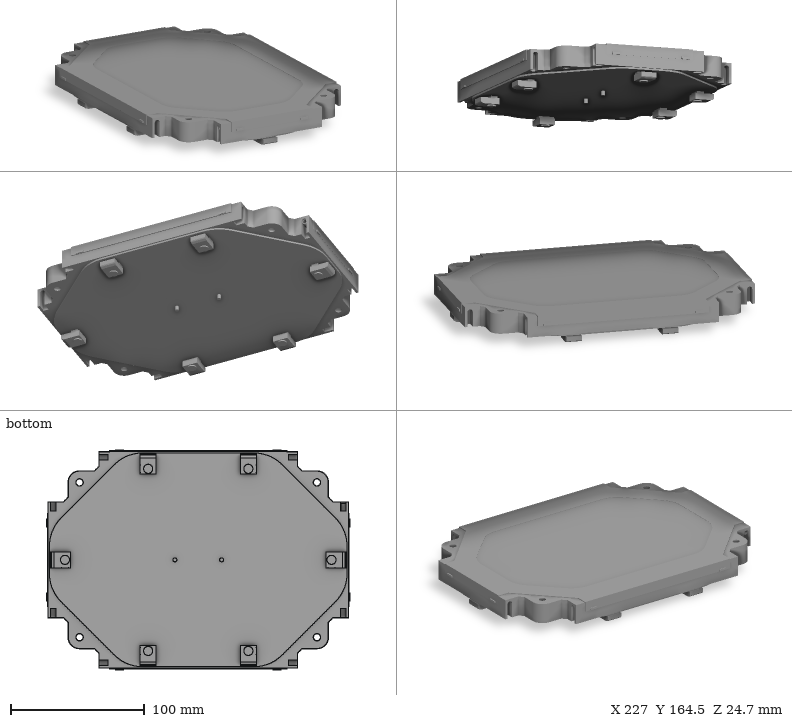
import cadquery as cq

overall_x = 227.0
overall_y = 164.5
overall_z = 24.7

nub_proud_x = 1.0
nub_proud_y = 0.7
lid_half_x = overall_x / 2 - nub_proud_x
lid_half_y = overall_y / 2 - nub_proud_y
lid_side_half_x = 66.3
lid_side_half_y = 34.7
lid_lip = 8.9
lid_depth = 8.0
window_half_x = 91.0
window_half_y = 59.5
window_chamfer = 33.5
window_radius = 20.2
window_depth = 0.2

lid_step = 0.7
shell_bottom = 16.3
lid_overhang_x = 0.11
lid_overhang_y = 0.7
shell_half_x = lid_half_x - lid_overhang_x
shell_half_y = lid_half_y - lid_overhang_y
arm_half_x = 74.2
arm_half_y = 43.4
lug_half_x = 97.4
lug_half_y = 66.5
lug_radius = 8.6
lug_hole_diameter = 5.2
corner_chamfer = 3.5

slot_width = 4.0
slot_inset = 4.0
slot_top = 2.7
slot_depth = 6.8
gland_recess = 1.1
gland_bore = 3.0

nub_length = 6.0
nub_height = 1.5
nub_top = 6.1
nub_on_long_side = 59.0
nub_on_short_side = 27.7

plate_half_x = 111.2
plate_half_y = 80.0
plate_chamfer = 57.2
plate_radius = 29.5
plate_bottom = 17.7

clamp_width = 12.0
clamp_top = 19.0
clamp_bottom = 23.8
clamp_inner = 4.0
clamp_outer = 11.0
neck_half = 2.7
bevel_top = 1.4
bevel_side = 0.7
bevel_length = 2.7
screw_diameter = 6.8
screw_x = 99.6
screw_y = 68.0
side_clamp_x = 37.5
pin_diameter = 3.0
pin_x = 17.5
pin_bottom = 21.0

signs = (1, -1)
quadrants = [(sx, sy) for sx in signs for sy in signs]


def slab(sketch, top, bottom):
    """Extrude a closed outline between two depths below the top face."""
    return sketch.extrude(bottom - top).translate((0, 0, -bottom))


def rod(x, y, diameter, top, bottom):
    """Vertical cylinder between two depths."""
    return slab(cq.Workplane("XY").center(x, y).circle(diameter / 2), top, bottom)


def rounded_octagon(half_x, half_y, chamfer, radius, top, bottom):
    """Rectangle with 45 degree corners, every vertex rounded."""
    body = slab(cq.Workplane("XY").rect(2 * half_x, 2 * half_y), top, bottom)
    return body.edges("|Z").chamfer(chamfer).edges("|Z").fillet(radius)


def make_shell():
    top, bottom = lid_step, shell_bottom
    shell = slab(cq.Workplane("XY").rect(2 * shell_half_x, 2 * arm_half_y), top, bottom)
    shell = shell.union(slab(cq.Workplane("XY").rect(2 * arm_half_x, 2 * shell_half_y), top, bottom))
    lugs = slab(cq.Workplane("XY").rect(2 * lug_half_x, 2 * lug_half_y), top, bottom)
    shell = shell.union(lugs.edges("|Z").fillet(lug_radius))
    for sx, sy in quadrants:
        for x, y in ((arm_half_x, lug_half_y), (lug_half_x, arm_half_y)):
            wedge = [(x, y), (x + corner_chamfer, y), (x, y + corner_chamfer)]
            wedge = [(sx * px, sy * py) for px, py in wedge]
            shell = shell.union(slab(cq.Workplane("XY").polyline(wedge).close(), top, bottom))
    return shell


def make_lid():
    x, y = lid_half_x, lid_half_y
    quarter = [
        (x, lid_side_half_y),
        (x - lid_lip, lid_side_half_y),
        (lid_side_half_x, y - lid_lip),
        (lid_side_half_x, y),
    ]
    left_quarter = [(-px, py) for px, py in reversed(quarter)]
    upper_half = quarter + left_quarter
    lower_half = [(-px, -py) for px, py in upper_half]
    lid = slab(cq.Workplane("XY").polyline(upper_half + lower_half).close(), 0, lid_depth)
    return lid.cut(
        rounded_octagon(window_half_x, window_half_y, window_chamfer, window_radius, 0, window_depth)
    )


def make_slot(half_length, half_width, sx, sy):
    """Slot in the +/-Y side of an arm along X, open at the shell bottom."""
    x = half_length - slot_inset
    spring = slot_top + slot_width / 2
    side = (
        cq.Workplane("XZ", origin=(0, half_width, 0))
        .moveTo(x - slot_width / 2, -shell_bottom)
        .lineTo(x - slot_width / 2, -spring)
        .threePointArc((x, -slot_top), (x + slot_width / 2, -spring))
        .lineTo(x + slot_width / 2, -shell_bottom)
        .close()
        .extrude(slot_depth)
    )
    if sx < 0:
        side = side.mirror("YZ")
    if sy < 0:
        side = side.mirror("XZ")
    return side


def swap_xy(body):
    """Mirror a body across the x = y plane."""
    return body.mirror("XZ").rotate((0, 0, 0), (0, 0, 1), 90)


def make_gland():
    """Ring seated in the round end of the slot at the +X end, -Y side."""
    start = -(arm_half_y - gland_recess)
    depth = slot_top + slot_width / 2
    plane = cq.Workplane("XZ", origin=(shell_half_x - slot_inset, start, -depth))
    return plane.circle(slot_width / 2).circle(gland_bore / 2).extrude(-(slot_depth - gland_recess))


def make_nub(half_length, proud, offset):
    """Latch nub on the +X side: a short bar rooted in the lid wall."""
    bar = cq.Workplane("XY").box(2 * proud, nub_length, nub_height)
    return bar.translate((half_length, offset, -nub_top - nub_height / 2))


def make_clamp():
    """Clamp reaching toward +X with its screw axis on x = 0."""
    profile = [
        (-neck_half, -shell_bottom),
        (-neck_half, -clamp_top),
        (-clamp_inner, -clamp_top),
        (-clamp_inner, -clamp_bottom),
        (clamp_outer - bevel_length, -clamp_bottom),
        (clamp_outer - bevel_side, -clamp_bottom + bevel_side),
        (clamp_outer, -clamp_bottom + bevel_top),
        (clamp_outer, -clamp_top),
        (neck_half, -clamp_top),
        (neck_half, -shell_bottom),
    ]
    jaw = cq.Workplane("XZ").polyline(profile).close().extrude(clamp_width / 2, both=True)
    return jaw.union(rod(0, 0, screw_diameter, clamp_top, overall_z))


result = make_shell().union(make_lid())
for sx, sy in quadrants:
    lug_x = sx * (lug_half_x - lug_radius)
    lug_y = sy * (lug_half_y - lug_radius)
    result = result.cut(rod(lug_x, lug_y, lug_hole_diameter, 0, shell_bottom))
    result = result.cut(make_slot(shell_half_x, arm_half_y, sx, sy))
    result = result.cut(swap_xy(make_slot(shell_half_y, arm_half_x, sx, sy)))
result = result.union(make_gland())

result = result.union(
    rounded_octagon(plate_half_x, plate_half_y, plate_chamfer, plate_radius, shell_bottom, plate_bottom)
)

for turn in (0, 180):
    for side in signs:
        end_nub = make_nub(lid_half_x, nub_proud_x, side * nub_on_short_side)
        side_nub = swap_xy(make_nub(lid_half_y, nub_proud_y, side * nub_on_long_side))
        for nub in (end_nub, side_nub):
            result = result.union(nub.rotate((0, 0, 0), (0, 0, 1), turn))

for turn in (0, 180):
    end_clamp = make_clamp().translate((screw_x, 0, 0))
    result = result.union(end_clamp.rotate((0, 0, 0), (0, 0, 1), turn))
    for side in signs:
        side_clamp = swap_xy(make_clamp()).translate((side * side_clamp_x, screw_y, 0))
        result = result.union(side_clamp.rotate((0, 0, 0), (0, 0, 1), turn))

for side in signs:
    result = result.union(rod(side * pin_x, 0, pin_diameter, shell_bottom, pin_bottom))